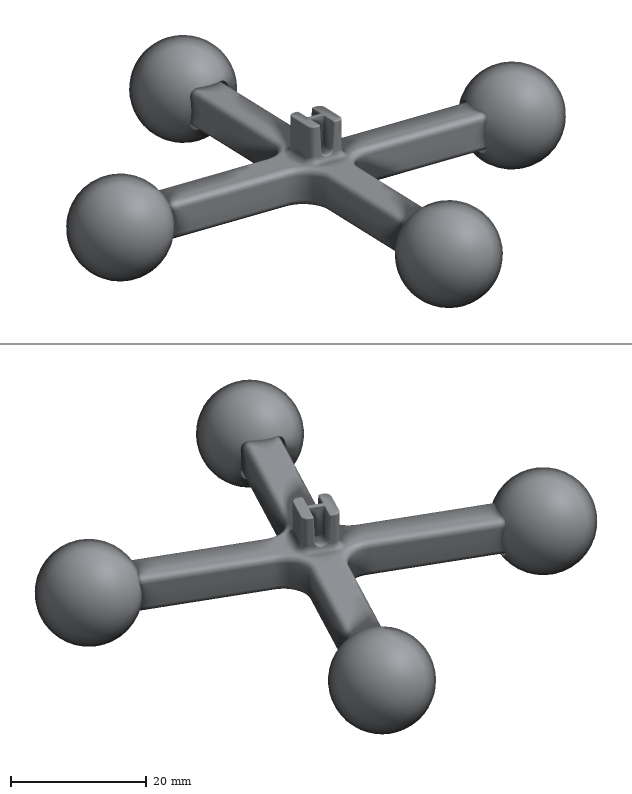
import cadquery as cq
import math

span = 86.0
overall_height = 17.0
ball_radius = 8.0
arm_width = 6.0
edge_radius = 1.0
hub_radius = 4.0
socket_gap = 0.4
post_width = 6.0
flare_radius = 1.0
rim_radius = 0.215
web_thickness = 0.8
slot_top_half = 1.16
trough_radius = 0.95
trough_bottom = 3.9
mouth_radius = 0.35

arm_half = arm_width / 2
post_half = post_width / 2
ball_centre = span / 2 - ball_radius
bar_length = 2 * ball_centre
post_top = overall_height - ball_radius
post_height = post_top - arm_half
ball_angles = [0, 90, 180, 270]
margin = 0.04


def box_around(x_half, y_half, z_low, z_high):
    """Edge selector: a box centred on the Z axis, slightly enlarged on every side."""
    return cq.selectors.BoxSelector(
        (-x_half - margin, -y_half - margin, z_low - margin),
        (x_half + margin, y_half + margin, z_high + margin),
    )


def make_cross():
    """Two crossing square bars with rounded inside corners and rounded long edges."""
    bar_x = cq.Workplane("XY").box(bar_length, arm_width, arm_width)
    bar_y = cq.Workplane("XY").box(arm_width, bar_length, arm_width)
    inside_corners = box_around(arm_half, arm_half, -arm_half, arm_half)
    cross = bar_x.union(bar_y).edges(inside_corners).edges("|Z").fillet(hub_radius)
    return cross.faces(">Z or <Z").edges("not(<X or >X or <Y or >Y)").fillet(edge_radius)


def add_post(cross):
    """Square post with rounded corners on top of the hub, flared at its foot."""
    post = (
        cq.Workplane("XY").workplane(offset=arm_half)
        .rect(post_width, post_width).extrude(post_height)
        .edges("|Z").fillet(edge_radius)
    )
    foot = box_around(post_half, post_half, arm_half, arm_half)
    return cross.union(post).edges(foot).fillet(flare_radius)


def make_slot():
    """Cutter for the +X slot: walls that lean outward from a round trough."""
    trough_axis = trough_bottom + trough_radius
    lean = math.atan((slot_top_half - trough_radius) / (post_top - trough_axis))
    wall_foot_y = trough_radius * math.cos(lean)
    wall_foot_z = trough_axis - trough_radius * math.sin(lean)
    wall_top_y = wall_foot_y + (post_top - wall_foot_z) * math.tan(lean)
    return (
        cq.Workplane("YZ").workplane(offset=web_thickness / 2)
        .moveTo(-wall_top_y, post_top)
        .lineTo(-wall_foot_y, wall_foot_z)
        .threePointArc((0, trough_bottom), (wall_foot_y, wall_foot_z))
        .lineTo(wall_top_y, post_top)
        .close()
        .extrude(post_half + flare_radius)
    )


def is_slot_mouth(edge):
    """True for the edges where a slot opens through the +X or -X side of the post."""
    box = edge.BoundingBox()
    on_side = abs(abs(box.center.x) - post_half) < margin and box.xlen < margin
    in_slot = max(abs(box.ymin), abs(box.ymax)) < slot_top_half + 2 * margin
    return on_side and in_slot and box.zmin > trough_bottom - margin and box.zlen > margin


def is_web_edge(edge):
    """True for the two top edges of the web, which stay sharp."""
    box = edge.BoundingBox()
    return box.xlen < margin and abs(abs(box.center.x) - web_thickness / 2) < margin


def cut_slots(frame):
    """Cut the two slots that make the post an H, then round their mouths and the rims."""
    slot = make_slot()
    frame = frame.cut(slot).cut(slot.mirror("YZ"))
    mouths = [edge for edge in frame.edges().vals() if is_slot_mouth(edge)]
    frame = frame.newObject(mouths).fillet(mouth_radius)
    rims = [edge for edge in frame.faces(">Z").edges().vals() if not is_web_edge(edge)]
    return frame.newObject(rims).fillet(rim_radius)


def make_ball(angle):
    """Ball on the end of one arm, with a clearance socket that ends at the ball centre."""
    socket_width = arm_width + 2 * socket_gap
    socket = (
        cq.Workplane("YZ").rect(socket_width, socket_width).extrude(ball_centre)
        .edges("|X").fillet(edge_radius + socket_gap)
    )
    ball = (
        cq.Workplane("XY").sphere(ball_radius)
        .rotate((0, 0, 0), (0, 1, 0), 90)
        .translate((ball_centre, 0, 0))
    )
    return ball.cut(socket).rotate((0, 0, 0), (0, 0, 1), angle)


frame = cut_slots(add_post(make_cross()))
balls = [make_ball(angle) for angle in ball_angles]

result = cq.Compound.makeCompound([frame.val(), *[ball.val() for ball in balls]])